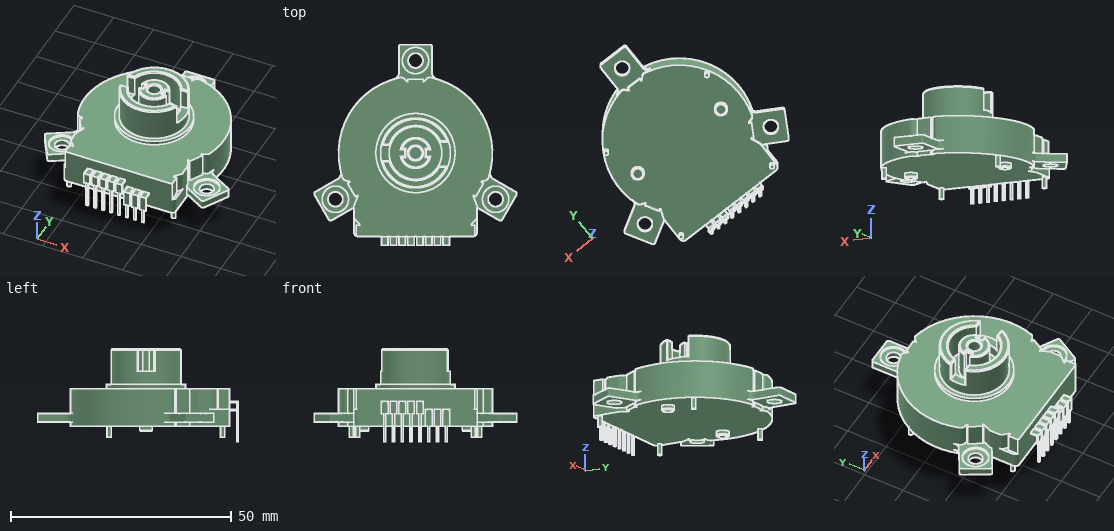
import cadquery as cq
import math

drum_radius = 17.5
housing_height = 8.6
connector_width = 28.0
connector_face_y = -19.0
connector_corner_radius = 1.0

seat_flat_distance = 16.8
seat_half_width = 1.75
seat_groove_depth = 0.6
seat_groove_floor = 0.15
groove_slope = 1.0
connector_groove_slope = 0.78
groove_lip_radius = 1.0
clip_angles = (90, 210, 330)

rebate_floor_z = 3.9
rebate_flat_x = 13.45
rebate_end_y = -16.4
rebate_groove_depth = 0.75
rebate_groove_floor = 0.28

lug_width = 7.5
lug_tip_distance = 24.65
lug_bottom_z = 0.95
lug_thickness = 2.0
lug_tip_radius = 0.5
lug_root_radius = 1.5
lug_hole_distance = 21.0
lug_hole_diameter = 3.3
lug_counterbore_diameter = 6.0
lug_counterbore_depth = 0.45

post_diameter = 1.0
post_length = 2.5
post_places = ((14.55, 8.4), (13.15, -17.35))
boss_diameter = 2.9
boss_length = 1.1
boss_chamfer = 0.28
boss_x = 12.02

flange_diameter = 18.0
flange_height = 0.95
rotor_diameter = 15.9
rotor_height = 8.0
rotor_bore_diameter = 12.0
rotor_chamfer = 0.28
rotor_slot_depth = 5.0
narrow_slot_y = (-1.75, 1.75)
wide_slot_y = (-3.0, 2.5)
hub_diameter = 7.0
hub_hole_diameter = 3.05
hub_notch_width = 1.5
hub_notch_floor_x = 2.5

terminal_row_length = 14.0
terminal_head_width = 1.5
terminal_leg_width = 0.5
terminal_thickness = 0.4
terminal_shelf_thickness = 0.28
terminal_reach = 2.0
terminal_tip_z = -3.5
terminal_levels = [(5.65, 2.9)] * 5 + [(3.85, 0.0)] * 3
terminal_pitch = terminal_row_length / (len(terminal_levels) - 1)

match_tolerance = 0.005


def on_drum(edge):
    """True for an edge on the drum's round side, apart from the surface's own seam on +X."""
    place = edge.Center()
    radius = math.hypot(place.x, place.y)
    return abs(radius - drum_radius) < match_tolerance and drum_radius - place.x > match_tolerance


def on_connector_side(edge):
    """True for an edge on a flat connector side, clear of the rounded corners."""
    place = edge.Center()
    corner_start_y = connector_face_y + connector_corner_radius
    return (abs(abs(place.x) - connector_width / 2) < match_tolerance
            and place.y > corner_start_y + match_tolerance)


def groove_points(inner, floor, floor_width, end, slope=groove_slope):
    """Groove from 'inner' at its floor, as (across, outward) points reaching the distance 'end'."""
    outer = inner + floor_width
    return [(inner, floor), (outer, floor), (outer + slope * (end - floor), end)]


def drum_outline():
    drum = cq.Workplane("XY").circle(drum_radius).extrude(housing_height)
    connector = (
        cq.Workplane("XY").center(0, connector_face_y / 2)
        .rect(connector_width, -connector_face_y).extrude(housing_height)
        .edges("|Z and <Y").fillet(connector_corner_radius)
    )
    return drum.union(connector)


def clip_seat(angle):
    end = lug_tip_distance
    floor = seat_flat_distance - seat_groove_depth
    toward_connector = math.cos(math.radians(angle))
    right_slope = connector_groove_slope if toward_connector > match_tolerance else groove_slope
    left_slope = connector_groove_slope if toward_connector < -match_tolerance else groove_slope
    right = groove_points(seat_half_width, floor, seat_groove_floor, end, right_slope)
    left = groove_points(seat_half_width, floor, seat_groove_floor, end, left_slope)
    left = [(-across, outward) for across, outward in reversed(left)]
    flat = [(-seat_half_width, seat_flat_distance), (seat_half_width, seat_flat_distance)]
    cutter = cq.Workplane("XY").polyline(flat + right + left).close().extrude(housing_height)
    return cutter.rotate((0, 0, 0), (0, 0, 1), angle - 90)


def corner_rebate(side):
    clear_x = connector_width / 2 + rebate_groove_depth
    clear_y = connector_face_y - rebate_groove_depth
    floor_x = rebate_flat_x - rebate_groove_depth
    groove = groove_points(rebate_end_y, floor_x, rebate_groove_floor, clear_x)
    flat_end = (side * rebate_flat_x, clear_y)
    flat_start = (side * rebate_flat_x, rebate_end_y)
    outline = [(side * outward, along) for along, outward in groove]
    outline += [(side * clear_x, clear_y), flat_end, flat_start]
    return (
        cq.Workplane("XY").workplane(offset=rebate_floor_z)
        .polyline(outline).close().extrude(housing_height - rebate_floor_z)
    )


def mounting_lug(angle):
    root_distance = drum_radius / 2
    length = lug_tip_distance - root_distance
    lug = (
        cq.Workplane("XY").workplane(offset=lug_bottom_z)
        .center(0, root_distance + length / 2).rect(lug_width, length).extrude(lug_thickness)
        .edges("|Z and >Y").fillet(lug_tip_radius)
    )
    return lug.rotate((0, 0, 0), (0, 0, 1), angle - 90)


def lug_hole(angle):
    top_z = lug_bottom_z + lug_thickness
    hole = (
        cq.Workplane("XY").workplane(offset=lug_bottom_z)
        .center(0, lug_hole_distance).circle(lug_hole_diameter / 2).extrude(lug_thickness)
    )
    counterbore = (
        cq.Workplane("XY").workplane(offset=top_z - lug_counterbore_depth)
        .center(0, lug_hole_distance).circle(lug_counterbore_diameter / 2).extrude(lug_counterbore_depth)
    )
    return hole.union(counterbore).rotate((0, 0, 0), (0, 0, 1), angle - 90)


def is_lug_root(edge):
    """True for an upright edge as tall as a lug where its side meets the drum."""
    lug_middle_z = lug_bottom_z + lug_thickness / 2
    return on_drum(edge) and abs(edge.Center().z - lug_middle_z) < match_tolerance


def make_housing():
    housing = drum_outline()
    for angle in clip_angles:
        housing = housing.cut(clip_seat(angle))
    for side in (-1, 1):
        housing = housing.cut(corner_rebate(side))
    upright = housing.edges("|Z")
    lips = upright.filter(on_drum).add(upright.filter(on_connector_side))
    housing = lips.fillet(groove_lip_radius)
    for angle in clip_angles:
        housing = housing.union(mounting_lug(angle))
    housing = housing.edges("|Z").filter(is_lug_root).fillet(lug_root_radius)
    for angle in clip_angles:
        housing = housing.cut(lug_hole(angle))
    for side in (-1, 1):
        posts = (
            cq.Workplane("XY").pushPoints([(side * x, y) for x, y in post_places])
            .circle(post_diameter / 2).extrude(-post_length)
        )
        boss = (
            cq.Workplane("XY").center(side * boss_x, 0).circle(boss_diameter / 2)
            .extrude(-boss_length).faces("<Z").chamfer(boss_chamfer)
        )
        housing = housing.union(posts).union(boss)
    return housing


def side_slot(inner_x, side, y_range, depth):
    low_y, high_y = y_range
    length = rotor_diameter
    return (
        cq.Workplane("XY")
        .box(length, high_y - low_y, depth)
        .translate((side * (inner_x + length / 2), (low_y + high_y) / 2, rotor_height - depth / 2))
    )


def is_slot_mouth(edge):
    """True for an upright edge where a slot breaks out through the ring's outside."""
    place = edge.Center()
    on_outside = abs(math.hypot(place.x, place.y) - rotor_diameter / 2) < match_tolerance
    return on_outside and place.z > rotor_height - rotor_slot_depth


def rotor_ring():
    ring = (
        cq.Workplane("XY").circle(rotor_diameter / 2).circle(rotor_bore_diameter / 2).extrude(rotor_height)
        .cut(side_slot(0, -1, narrow_slot_y, rotor_slot_depth))
        .cut(side_slot(0, 1, wide_slot_y, rotor_slot_depth))
    )
    mouths = ring.edges("|Z").filter(is_slot_mouth)
    return ring.faces(">Z").edges().add(mouths).chamfer(rotor_chamfer)


def rotor_hub():
    hub = cq.Workplane("XY").circle(hub_diameter / 2).circle(hub_hole_diameter / 2).extrude(rotor_height)
    notch_y = (-hub_notch_width / 2, hub_notch_width / 2)
    for side in (-1, 1):
        hub = hub.cut(side_slot(hub_notch_floor_x, side, notch_y, rotor_height))
    return hub.faces(">Z").chamfer(rotor_chamfer)


def make_rotor():
    flange = cq.Workplane("XY").circle(flange_diameter / 2).extrude(-flange_height)
    rotor = flange.union(rotor_ring()).union(rotor_hub())
    return rotor.translate((0, 0, housing_height + flange_height))


def make_terminal(x, head_top_z, head_bottom_z):
    outer_y = connector_face_y - terminal_reach
    inner_y = outer_y + terminal_thickness

    def block(width, y_range, z_range):
        size_y = y_range[1] - y_range[0]
        size_z = z_range[1] - z_range[0]
        return cq.Workplane("XY").box(width, size_y, size_z, centered=(True, False, False)).translate(
            (x, y_range[0], z_range[0]))

    shelf = block(terminal_head_width, (outer_y, connector_face_y),
                  (head_top_z - terminal_shelf_thickness, head_top_z))
    head = block(terminal_head_width, (outer_y, inner_y), (head_bottom_z, head_top_z))
    leg = block(terminal_leg_width, (outer_y, inner_y), (terminal_tip_z, head_bottom_z))
    return shelf.union(head).union(leg)


housing = make_housing()
rotor = make_rotor()
terminals = []
for index, (head_top, head_bottom) in enumerate(terminal_levels):
    place_x = index * terminal_pitch - terminal_row_length / 2
    terminals.append(make_terminal(place_x, head_top, head_bottom).val())

result = cq.Compound.makeCompound([housing.val(), rotor.val(), *terminals])